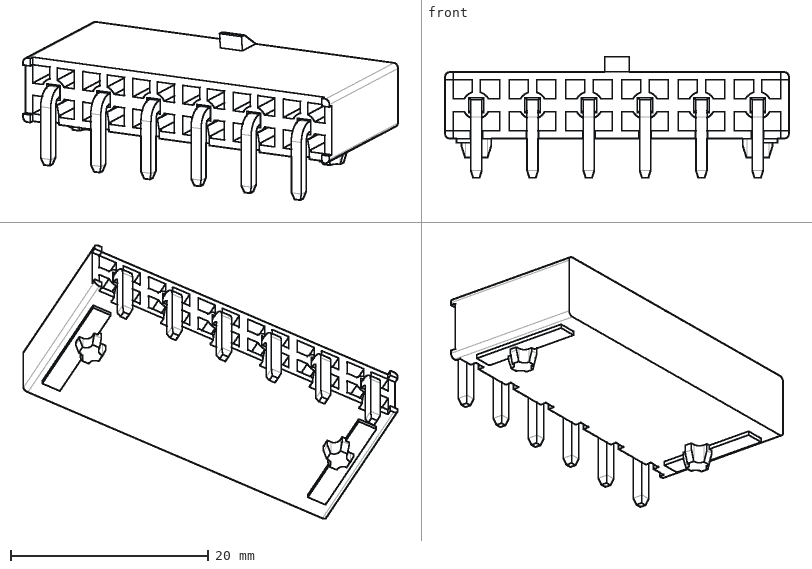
import cadquery as cq


HOUSING_LENGTH = 34.85
HOUSING_HEIGHT = 6.75
HOUSING_DEPTH = 14.75
HOUSING_EDGE_RADIUS = 0.5
EAR_PROJECTION = 0.55
EAR_WIDTH = 0.85
EAR_HEIGHT = 0.8
MID_HEIGHT = HOUSING_HEIGHT / 2
PIN_FACE_Y = -HOUSING_DEPTH

PIN_COUNT = 6
PITCH = 5.7
PIN_XS = [(i - (PIN_COUNT - 1) / 2) * PITCH for i in range(PIN_COUNT)]

WINDOW_CELL_WIDTH = 4.72
WINDOW_CELL_HEIGHT = HOUSING_HEIGHT - 2 * EAR_HEIGHT
UPRIGHT_WEB = 0.84
LEVEL_WEB = 1.28
WINDOW_DEPTH = 5.0
HUB_RADIUS = 1.38

SOCKET_MOUTH = 1.55
SOCKET_DEPTH = 0.35
SLOT_WIDTH = 1.26
SLOT_HEIGHT = 2.1
SLOT_DEPTH = 0.68

PIN_SIZE = 1.14
PIN_INNER_RADIUS = 0.6
PIN_OUTER_RADIUS = PIN_INNER_RADIUS + PIN_SIZE
PIN_FRONT_Y = -16.44
PIN_BOTTOM_Z = -3.98
PIN_TIP_HEIGHT = 0.76
PIN_TIP_SIZE = 0.66
PIN_EMBED = 3.0

LATCH_WIDTH = 2.5
LATCH_HEIGHT = 1.55
LATCH_CREST_START = 2.55
LATCH_CREST_END = 3.2
LATCH_FOOT_END = 3.0

PAD_HEIGHT = 0.42
PAD_OUTER_X = 16.28
PAD_INNER_X = PIN_XS[-1]
PAD_REAR_Y = -1.95
PAD_FRONT_Y = -12.85
PEG_Y = -8.54
PEG_HEIGHT = 1.92
PEG_RIB_WIDTH = 0.82
PEG_RIB_REACH = 1.52
PEG_RIB_TIP_REACH = 1.15
PEG_RIB_STRAIGHT = 0.74
PEG_FILLET_RADIUS = 0.7

OVERLAP = 0.3


def box(x0, x1, y0, y1, z0, z1):
    """Box between two opposite corners."""
    return cq.Workplane("XY").box(x1 - x0, y1 - y0, z1 - z0, centered=False).translate((x0, y0, z0))


def make_housing():
    """Block rounded along its length, cut back at the pin end to leave an ear at each corner."""
    half = HOUSING_LENGTH / 2
    ear_y = PIN_FACE_Y - EAR_PROJECTION
    block = box(-half, half, ear_y, 0, 0, HOUSING_HEIGHT).edges("|Y").fillet(HOUSING_EDGE_RADIUS)
    ear_inner = half - EAR_WIDTH
    between_sides = box(-ear_inner, ear_inner, ear_y, PIN_FACE_Y, 0, HOUSING_HEIGHT)
    between_levels = box(-half, half, ear_y, PIN_FACE_Y, EAR_HEIGHT, HOUSING_HEIGHT - EAR_HEIGHT)
    return block.cut(between_sides).cut(between_levels)


def make_windows(x):
    """Four blind windows around one pin, parted by a cross-shaped web with a round hub."""
    rear_y = PIN_FACE_Y + WINDOW_DEPTH
    half_width = WINDOW_CELL_WIDTH / 2
    half_height = WINDOW_CELL_HEIGHT / 2
    low, high = MID_HEIGHT - half_height, MID_HEIGHT + half_height
    cell = box(x - half_width, x + half_width, PIN_FACE_Y, rear_y, low, high)
    upright = box(x - UPRIGHT_WEB / 2, x + UPRIGHT_WEB / 2, PIN_FACE_Y, rear_y, low, high)
    level = box(
        x - half_width, x + half_width, PIN_FACE_Y, rear_y,
        MID_HEIGHT - LEVEL_WEB / 2, MID_HEIGHT + LEVEL_WEB / 2,
    )
    hub = (
        cq.Workplane("XZ", origin=(x, rear_y, MID_HEIGHT))
        .circle(HUB_RADIUS)
        .extrude(WINDOW_DEPTH)
    )
    return cell.cut(upright).cut(level).cut(hub)


def make_socket(x):
    """Square funnel that narrows from its mouth to the pin."""
    return (
        cq.Workplane("XZ", origin=(x, PIN_FACE_Y, MID_HEIGHT))
        .rect(SOCKET_MOUTH, SOCKET_MOUTH)
        .workplane(offset=-SOCKET_DEPTH)
        .rect(PIN_SIZE, PIN_SIZE)
        .loft(ruled=True)
    )


def make_leg_slot(x):
    """Wedge-shaped slot behind the pin leg, deepest at the housing bottom."""
    return (
        cq.Workplane("YZ", origin=(x - SLOT_WIDTH / 2, 0, 0))
        .moveTo(PIN_FACE_Y, 0)
        .lineTo(PIN_FACE_Y + SLOT_DEPTH, 0)
        .lineTo(PIN_FACE_Y, SLOT_HEIGHT)
        .close()
        .extrude(SLOT_WIDTH)
    )


def make_pin(x):
    """Square pin that leaves the housing level, bends down and ends in a tapered tip."""
    top_z = MID_HEIGHT + PIN_SIZE / 2
    bend_z = top_z - PIN_OUTER_RADIUS
    bend_y = PIN_FRONT_Y + PIN_OUTER_RADIUS
    rear_y = PIN_FACE_Y + PIN_EMBED
    tip_z = PIN_BOTTOM_Z + PIN_TIP_HEIGHT
    stem = (
        cq.Workplane("YZ", origin=(x - PIN_SIZE / 2, 0, 0))
        .moveTo(rear_y, top_z)
        .lineTo(bend_y, top_z)
        .radiusArc((PIN_FRONT_Y, bend_z), -PIN_OUTER_RADIUS)
        .lineTo(PIN_FRONT_Y, tip_z)
        .lineTo(PIN_FRONT_Y + PIN_SIZE, tip_z)
        .lineTo(PIN_FRONT_Y + PIN_SIZE, bend_z)
        .radiusArc((bend_y, top_z - PIN_SIZE), PIN_INNER_RADIUS)
        .lineTo(rear_y, top_z - PIN_SIZE)
        .close()
        .extrude(PIN_SIZE)
    )
    tip = (
        cq.Workplane("XY", origin=(x, PIN_FRONT_Y + PIN_SIZE / 2, tip_z))
        .rect(PIN_SIZE, PIN_SIZE)
        .workplane(offset=-PIN_TIP_HEIGHT)
        .rect(PIN_TIP_SIZE, PIN_TIP_SIZE)
        .loft(ruled=True)
    )
    return stem.union(tip)


def make_latch():
    """Ramp that rises from the mating end to a flat crest and an undercut catch face."""
    crest_z = HOUSING_HEIGHT + LATCH_HEIGHT
    root_z = HOUSING_HEIGHT - OVERLAP
    return (
        cq.Workplane("YZ", origin=(-LATCH_WIDTH / 2, 0, 0))
        .moveTo(0, root_z)
        .lineTo(0, HOUSING_HEIGHT)
        .lineTo(-LATCH_CREST_START, crest_z)
        .lineTo(-LATCH_CREST_END, crest_z)
        .lineTo(-LATCH_FOOT_END, HOUSING_HEIGHT)
        .lineTo(-LATCH_FOOT_END, root_z)
        .close()
        .extrude(LATCH_WIDTH)
    )


def make_peg(x):
    """Peg of four crossed ribs, tapered towards the free end, with hollow rounds between them."""
    rib_pair = (
        cq.Workplane("XZ", origin=(0, PEG_RIB_WIDTH / 2, 0))
        .polyline([
            (-PEG_RIB_REACH, OVERLAP),
            (PEG_RIB_REACH, OVERLAP),
            (PEG_RIB_REACH, -PEG_RIB_STRAIGHT),
            (PEG_RIB_TIP_REACH, -PEG_HEIGHT),
            (-PEG_RIB_TIP_REACH, -PEG_HEIGHT),
            (-PEG_RIB_REACH, -PEG_RIB_STRAIGHT),
        ])
        .close()
        .extrude(PEG_RIB_WIDTH)
    )
    scoop_offset = PEG_RIB_WIDTH / 2 + PEG_FILLET_RADIUS
    core = (
        cq.Workplane("XY", origin=(0, 0, -PEG_HEIGHT))
        .rect(2 * scoop_offset, 2 * scoop_offset)
        .extrude(PEG_HEIGHT + OVERLAP)
    )
    scoops = (
        cq.Workplane("XY", origin=(0, 0, -PEG_HEIGHT))
        .rect(2 * scoop_offset, 2 * scoop_offset, forConstruction=True)
        .vertices()
        .circle(PEG_FILLET_RADIUS)
        .extrude(PEG_HEIGHT + OVERLAP)
    )
    crossed_ribs = rib_pair.union(rib_pair.rotate((0, 0, 0), (0, 0, 1), 90))
    return core.cut(scoops).union(crossed_ribs).translate((x, PEG_Y, 0))


def make_pads():
    """Standoff pad under each end of the housing."""
    right = box(PAD_INNER_X, PAD_OUTER_X, PAD_FRONT_Y, PAD_REAR_Y, -PAD_HEIGHT, OVERLAP)
    return right.union(right.mirror("YZ"))


result = make_housing().union(make_latch()).union(make_pads())
for peg_x in (PIN_XS[0], PIN_XS[-1]):
    result = result.union(make_peg(peg_x))
for pin_x in PIN_XS:
    result = result.cut(make_windows(pin_x))
    result = result.cut(make_leg_slot(pin_x))
    result = result.cut(make_socket(pin_x))
    result = result.union(make_pin(pin_x))